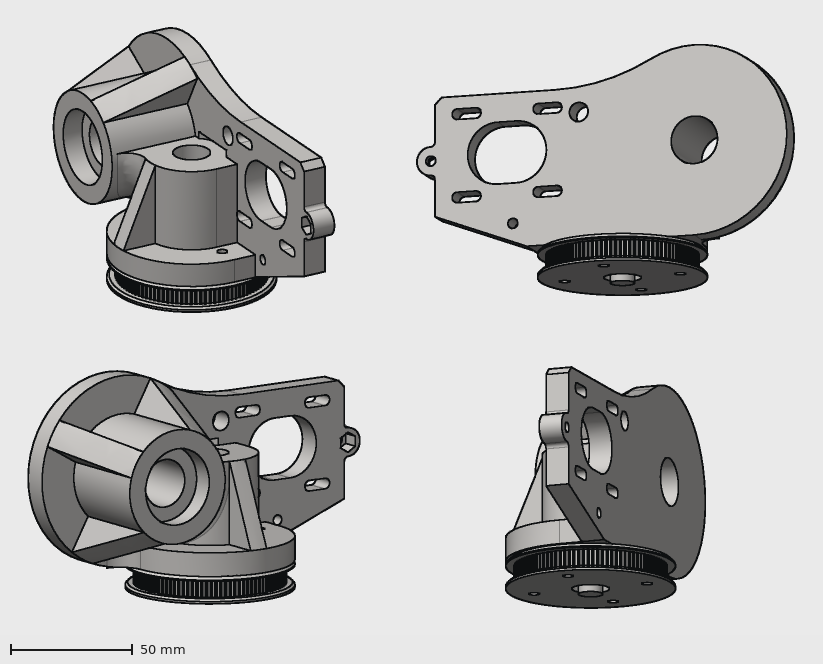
import cadquery as cq
import math

ASSEMBLY_TURN = -0.65

PLATE_FRONT_Y = 10
PLATE_THICKNESS = 10
PLATE_BACK_Y = PLATE_FRONT_Y + PLATE_THICKNESS
DISC_X = -37.5
DISC_Z = 40
DISC_RADIUS = 40
PLATE_RIGHT_X = 74.7
PLATE_TOP_Z = 65
PLATE_CORNER_CHAMFER = 3
SLANT_TOP_Z = 15
BLEND_RADIUS = 88

EAR_RADIUS = 6
EAR_FILLET = 1.8
EAR_X = PLATE_RIGHT_X + EAR_FILLET
EAR_Z = (SLANT_TOP_Z + PLATE_TOP_Z - PLATE_CORNER_CHAMFER) / 2
EAR_HOLE_DIAMETER = 4.2
NUT_ACROSS_CORNERS = 8.4
NUT_TRAP_DEPTH = 7

MOTOR_X = 43.5
MOTOR_Z = 40
MOTOR_TRAVEL = 8
MOTOR_PILOT_DIAMETER = 26
MOTOR_SCREW_SPACING = 35
MOTOR_SCREW_DIAMETER = 4.4
ACCESS_HOLE_X = 12.5
ACCESS_HOLE_Z = 55
ACCESS_HOLE_DIAMETER = 8
CORNER_HOLE_X = 41
CORNER_HOLE_Z = 10
CORNER_HOLE_DIAMETER = 4.2

BOSS_LENGTH = 40
BOSS_RADIUS = 24
BOSS_FRONT_Y = PLATE_FRONT_Y - BOSS_LENGTH
BOSS_BORE_DIAMETER = 20
BEARING_SEAT_DIAMETER = 32
BEARING_SEAT_DEPTH = 9
BOSS_RIB_WIDTH = 12
BOSS_RIB_ANGLES = (60, 150, 240)

BASE_RADIUS = 35
BASE_HEIGHT = 10
TOWER_RADIUS = 20
TOWER_TOP_Z = 45
TOWER_BORE_DIAMETER = 15.5
TOWER_RIB_WIDTH = 8
TOWER_TO_BOSS_FILLET = 8
SELECTION_MARGIN = 1
WASHER_RELIEF_RADIUS = 15
WASHER_RELIEF_HEIGHT = 3
BASE_SCREW_HOLE_DIAMETER = 4.2
SCREW_CIRCLE_RADIUS = 25

TOOTH_COUNT = 100
BELT_PITCH = 2
PITCH_LINE_OFFSET = 0.254
TOOTH_TIP_RADIUS = TOOTH_COUNT * BELT_PITCH / (2 * math.pi) - PITCH_LINE_OFFSET
GROOVE_DEPTH = 0.75
GROOVE_MOUTH_WIDTH = 1.4
GROOVE_FLOOR_WIDTH = 1.1
FLANK_DEPTH = 0.25
PULLEY_FLANGE_RADIUS = 35
PULLEY_SCREW_HOLE_DIAMETER = 4.4
PULLEY_BORE_DIAMETER = TOWER_BORE_DIAMETER
FLANGE_THICKNESS = 2
UPPER_FLANGE_BEVEL = 1.5
LOWER_FLANGE_BEVEL = 1
LOWER_FLANGE_TOP_Z = -9.5
PULLEY_BOTTOM_Z = LOWER_FLANGE_TOP_Z - FLANGE_THICKNESS

SHAFT_DIAMETER = 10
SHAFT_BOTTOM_Z = -13.76
SHAFT_TOP_Z = BASE_HEIGHT


def upright_cylinder(x, y, radius, bottom_z, top_z):
    """Cylinder along Z."""
    return cq.Workplane("XY").workplane(offset=bottom_z).center(x, y).circle(radius).extrude(top_z - bottom_z)


def plate_plane(y):
    """Workplane with local X along X and local Y along Z; positive extrusion runs toward -Y."""
    return cq.Workplane("XZ", origin=(0, y, 0))


def plate_body():
    """Upright plate: a disc that blends into a motor plate."""
    centre_distance = DISC_RADIUS + BLEND_RADIUS
    blend_z = PLATE_TOP_Z + BLEND_RADIUS
    rise = blend_z - DISC_Z
    run = math.sqrt(centre_distance**2 - rise**2)
    blend_x = DISC_X + run
    touch_share = DISC_RADIUS / centre_distance
    touch = (DISC_X + run * touch_share, DISC_Z + rise * touch_share)
    touch_angle = math.atan2(rise, run)
    blend_start_angle = touch_angle + math.pi
    blend_end_angle = 1.5 * math.pi
    blend_mid_angle = (blend_start_angle + blend_end_angle) / 2
    blend_mid = (
        blend_x + BLEND_RADIUS * math.cos(blend_mid_angle),
        blend_z + BLEND_RADIUS * math.sin(blend_mid_angle),
    )
    profile = (
        plate_plane(PLATE_BACK_Y)
        .moveTo(DISC_X, DISC_Z - DISC_RADIUS)
        .threePointArc((DISC_X - DISC_RADIUS, DISC_Z), touch)
        .threePointArc(blend_mid, (blend_x, PLATE_TOP_Z))
        .lineTo(PLATE_RIGHT_X - PLATE_CORNER_CHAMFER, PLATE_TOP_Z)
        .lineTo(PLATE_RIGHT_X, PLATE_TOP_Z - PLATE_CORNER_CHAMFER)
        .lineTo(PLATE_RIGHT_X, SLANT_TOP_Z)
        .lineTo(BASE_RADIUS, 0)
        .close()
    )
    return profile.extrude(PLATE_THICKNESS)


def ear():
    """Rounded ear whose root is filleted into the right edge of the plate."""
    top_z = EAR_Z + EAR_RADIUS
    bottom_z = EAR_Z - EAR_RADIUS
    profile = (
        plate_plane(PLATE_BACK_Y)
        .moveTo(PLATE_RIGHT_X - EAR_RADIUS, top_z + EAR_FILLET)
        .lineTo(PLATE_RIGHT_X, top_z + EAR_FILLET)
        .radiusArc((EAR_X, top_z), -EAR_FILLET)
        .threePointArc((EAR_X + EAR_RADIUS, EAR_Z), (EAR_X, bottom_z))
        .radiusArc((PLATE_RIGHT_X, bottom_z - EAR_FILLET), -EAR_FILLET)
        .lineTo(PLATE_RIGHT_X - EAR_RADIUS, bottom_z - EAR_FILLET)
        .close()
    )
    return profile.extrude(PLATE_THICKNESS)


def cut_plate_openings(plate):
    """Motor pilot and screw slots, round holes, the ear's nut trap and the washer relief."""
    half_spacing = MOTOR_SCREW_SPACING / 2
    pilot = (
        plate_plane(PLATE_BACK_Y)
        .center(MOTOR_X, MOTOR_Z)
        .slot2D(MOTOR_PILOT_DIAMETER + MOTOR_TRAVEL, MOTOR_PILOT_DIAMETER)
        .extrude(PLATE_THICKNESS)
    )
    slots = (
        plate_plane(PLATE_BACK_Y)
        .center(MOTOR_X, MOTOR_Z)
        .pushPoints([(i * half_spacing, j * half_spacing) for i in (-1, 1) for j in (-1, 1)])
        .slot2D(MOTOR_SCREW_DIAMETER + MOTOR_TRAVEL, MOTOR_SCREW_DIAMETER)
        .extrude(PLATE_THICKNESS)
    )
    plate = plate.cut(pilot).cut(slots)
    round_holes = (
        (ACCESS_HOLE_X, ACCESS_HOLE_Z, ACCESS_HOLE_DIAMETER),
        (CORNER_HOLE_X, CORNER_HOLE_Z, CORNER_HOLE_DIAMETER),
        (EAR_X, EAR_Z, EAR_HOLE_DIAMETER),
    )
    for x, z, diameter in round_holes:
        hole = plate_plane(PLATE_BACK_Y).center(x, z).circle(diameter / 2).extrude(PLATE_THICKNESS)
        plate = plate.cut(hole)
    nut_trap = (
        plate_plane(PLATE_FRONT_Y + NUT_TRAP_DEPTH)
        .center(EAR_X, EAR_Z)
        .transformed(rotate=(0, 0, 90))
        .polygon(6, NUT_ACROSS_CORNERS)
        .extrude(NUT_TRAP_DEPTH)
    )
    relief_top_z = TOWER_TOP_Z + WASHER_RELIEF_HEIGHT
    washer_relief = upright_cylinder(0, 0, WASHER_RELIEF_RADIUS, TOWER_TOP_Z, relief_top_z)
    return plate.cut(nut_trap).cut(washer_relief)


def boss_and_tower():
    """Horizontal boss and vertical tower, blended by a fillet along the lower side of the boss."""
    boss = (
        plate_plane(PLATE_FRONT_Y)
        .center(DISC_X, DISC_Z)
        .transformed(rotate=(0, 0, 180))
        .circle(BOSS_RADIUS)
        .extrude(BOSS_LENGTH)
    )
    tower = (
        cq.Workplane("XY")
        .moveTo(-TOWER_RADIUS, PLATE_FRONT_Y)
        .lineTo(-TOWER_RADIUS, 0)
        .threePointArc((0, -TOWER_RADIUS), (TOWER_RADIUS, 0))
        .lineTo(TOWER_RADIUS, PLATE_FRONT_Y)
        .close()
        .extrude(TOWER_TOP_Z)
    )
    joined = boss.union(tower)
    meeting_edges = cq.selectors.BoxSelector(
        (-TOWER_RADIUS - SELECTION_MARGIN, -TOWER_RADIUS, SELECTION_MARGIN),
        (
            DISC_X + BOSS_RADIUS + SELECTION_MARGIN,
            PLATE_FRONT_Y - SELECTION_MARGIN,
            TOWER_TOP_Z - SELECTION_MARGIN,
        ),
    )
    return joined.edges(meeting_edges).fillet(TOWER_TO_BOSS_FILLET)


def boss_ribs():
    """Radial ribs whose outer faces lie on one cone from the disc rim to the boss front."""
    cone = cq.Workplane(
        cq.Solid.makeCone(
            DISC_RADIUS,
            BOSS_RADIUS,
            BOSS_LENGTH,
            pnt=cq.Vector(DISC_X, PLATE_FRONT_Y, DISC_Z),
            dir=cq.Vector(0, -1, 0),
        )
    )
    ribs = []
    for angle in BOSS_RIB_ANGLES:
        slab = (
            plate_plane(PLATE_FRONT_Y)
            .center(DISC_X, DISC_Z)
            .transformed(rotate=(0, 0, angle))
            .center(DISC_RADIUS / 2, 0)
            .rect(DISC_RADIUS, BOSS_RIB_WIDTH)
            .extrude(BOSS_LENGTH)
        )
        ribs.append(cone.intersect(slab))
    return ribs


def base_flange():
    """Round base under the tower, widening on the left in a concave arc to the plate."""
    corner_radius = PLATE_FRONT_Y
    half_way = corner_radius * math.sqrt(0.5)
    profile = (
        cq.Workplane("XY")
        .moveTo(-BASE_RADIUS - corner_radius, PLATE_FRONT_Y)
        .threePointArc((-BASE_RADIUS - corner_radius + half_way, half_way), (-BASE_RADIUS, 0))
        .threePointArc((0, -BASE_RADIUS), (BASE_RADIUS, 0))
        .lineTo(BASE_RADIUS, PLATE_FRONT_Y)
        .close()
    )
    return profile.extrude(BASE_HEIGHT)


def tower_rib():
    """Front rib whose outer face lies on a cone from the base rim to the tower top."""
    height = TOWER_TOP_Z - BASE_HEIGHT
    cone = cq.Workplane(
        cq.Solid.makeCone(BASE_RADIUS, TOWER_RADIUS, height, pnt=cq.Vector(0, 0, BASE_HEIGHT))
    )
    slab = (
        cq.Workplane("XY")
        .workplane(offset=BASE_HEIGHT)
        .center(0, -BASE_RADIUS / 2)
        .rect(TOWER_RIB_WIDTH, BASE_RADIUS)
        .extrude(height)
    )
    return cone.intersect(slab)


def make_bracket():
    plate = cut_plate_openings(plate_body().union(ear()))
    bracket = plate.union(boss_and_tower()).union(base_flange()).union(tower_rib())
    for rib in boss_ribs():
        bracket = bracket.union(rib)
    boss_bore = (
        plate_plane(PLATE_BACK_Y)
        .center(DISC_X, DISC_Z)
        .circle(BOSS_BORE_DIAMETER / 2)
        .extrude(PLATE_THICKNESS + BOSS_LENGTH)
    )
    bearing_seat = (
        plate_plane(BOSS_FRONT_Y + BEARING_SEAT_DEPTH)
        .center(DISC_X, DISC_Z)
        .circle(BEARING_SEAT_DIAMETER / 2)
        .extrude(BEARING_SEAT_DEPTH)
    )
    tower_bore = upright_cylinder(0, 0, TOWER_BORE_DIAMETER / 2, 0, TOWER_TOP_Z)
    screw_hole_radius = BASE_SCREW_HOLE_DIAMETER / 2
    screw_hole = upright_cylinder(SCREW_CIRCLE_RADIUS, 0, screw_hole_radius, 0, BASE_HEIGHT)
    return bracket.cut(boss_bore).cut(bearing_seat).cut(tower_bore).cut(screw_hole)


def toothed_ring(bottom_z, top_z):
    """Toothed cylinder with one round-bottomed groove per belt tooth."""

    def polar(radius, angle):
        return (radius * math.cos(angle), radius * math.sin(angle))

    step = 2 * math.pi / TOOTH_COUNT
    half_mouth = GROOVE_MOUTH_WIDTH / 2 / TOOTH_TIP_RADIUS
    half_floor = GROOVE_FLOOR_WIDTH / 2 / TOOTH_TIP_RADIUS
    flank_end_radius = TOOTH_TIP_RADIUS - FLANK_DEPTH
    profile = cq.Workplane("XY").workplane(offset=bottom_z).moveTo(*polar(TOOTH_TIP_RADIUS, -half_mouth))
    for tooth in range(TOOTH_COUNT):
        angle = tooth * step
        profile = (
            profile.lineTo(*polar(flank_end_radius, angle - half_floor))
            .threePointArc(
                polar(TOOTH_TIP_RADIUS - GROOVE_DEPTH, angle),
                polar(flank_end_radius, angle + half_floor),
            )
            .lineTo(*polar(TOOTH_TIP_RADIUS, angle + half_mouth))
        )
        if tooth < TOOTH_COUNT - 1:
            profile = profile.threePointArc(
                polar(TOOTH_TIP_RADIUS, angle + step / 2),
                polar(TOOTH_TIP_RADIUS, angle + step - half_mouth),
            )
    return profile.close().extrude(top_z - bottom_z)


def bevelled_disc(bottom_z, bevel):
    """Pulley flange with its upper rim bevelled."""
    top_z = bottom_z + FLANGE_THICKNESS
    return upright_cylinder(0, 0, PULLEY_FLANGE_RADIUS, bottom_z, top_z).faces(">Z").chamfer(bevel)


def cut_pulley_holes(body):
    """Central bore and the circle of screw holes shared by both pulley parts."""
    top_z = 0
    body = body.cut(upright_cylinder(0, 0, PULLEY_BORE_DIAMETER / 2, PULLEY_BOTTOM_Z, top_z))
    for x, y in ((1, 0), (0, 1), (-1, 0), (0, -1)):
        hole_x = x * SCREW_CIRCLE_RADIUS
        hole_y = y * SCREW_CIRCLE_RADIUS
        hole_radius = PULLEY_SCREW_HOLE_DIAMETER / 2
        body = body.cut(upright_cylinder(hole_x, hole_y, hole_radius, PULLEY_BOTTOM_Z, top_z))
    return body


def make_upper_flange():
    return cut_pulley_holes(bevelled_disc(-FLANGE_THICKNESS, UPPER_FLANGE_BEVEL))


def make_pulley():
    disc = bevelled_disc(PULLEY_BOTTOM_Z, LOWER_FLANGE_BEVEL)
    teeth = toothed_ring(LOWER_FLANGE_TOP_Z, -FLANGE_THICKNESS)
    return cut_pulley_holes(disc.union(teeth))


def make_shaft():
    return upright_cylinder(0, 0, SHAFT_DIAMETER / 2, SHAFT_BOTTOM_Z, SHAFT_TOP_Z)


bracket = make_bracket()
upper_flange = make_upper_flange()
pulley = make_pulley()
shaft = make_shaft()

turned_bodies = [
    body.rotate((0, 0, 0), (0, 0, 1), ASSEMBLY_TURN)
    for body in (bracket, upper_flange, pulley, shaft)
]
result = cq.Compound.makeCompound([body.val() for body in turned_bodies])